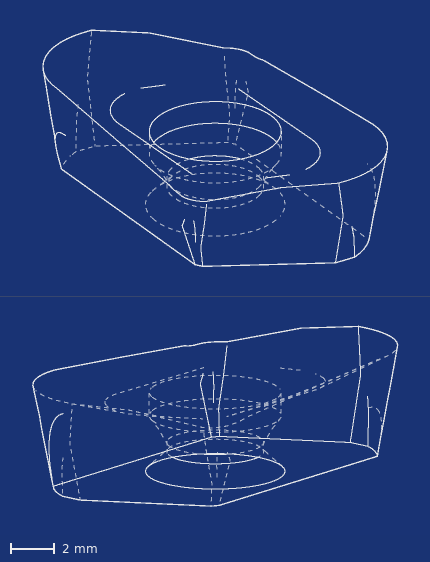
import cadquery as cq
import math

height = 5.0
half_length = 9.5
floor_z = 3.72
clearance = math.tan(math.radians(20))

end_plane = (0, 7.9)
short_plane = (-30, 6.18)
long_plane = (-91, 4.0)
corner_plane = (-60, 5.81)

nose_radius = 4.08
nose_top = (half_length - nose_radius, 0.93)
nose_base = (4.15, 0.8)
end_face_y = -1.9
corner_top = [(6.65, -4.58), (6.18, -5.11), (5.47, -5.38)]
corner_base = [(4.4, -4.33), (4.28, -4.46), (4.03, -4.58)]

floor_nose_center = (3.04, 0.76)
floor_nose_radius = 2.47
floor_side = [(5.5, 0.44, floor_z), (5.15, -0.66, floor_z)]
edge_side = [(half_length, 0.44, height), (8.08, -1.75, 4.79)]
floor_corner = [(4.0, -2.65, floor_z), (3.67, -3.08, floor_z), (2.98, -3.23, floor_z)]
edge_corner = [(6.27, -4.62, 4.08), (5.6, -5.17, 4.08), (3.99, -5.2, 4.22)]
overshoot = 1.3
cutter_top = height + 1.9

head_radius = 3.0
neck_radius = 2.62
bore_radius = 2.2
head_z = 2.62
neck_z = 2.1
bore_z = 1.37
relief_radius = 3.17
relief_z = 0.93


def half_turn(point):
    return (-point[0], -point[1], *point[2:])


def arc_points(center, radius, *z):
    """Start, middle and end of a quarter arc from +Y round to +X."""
    return [
        (
            center[0] + radius * math.cos(math.radians(angle)),
            center[1] + radius * math.sin(math.radians(angle)),
            *z,
        )
        for angle in (90, 45, 0)
    ]


def clearance_block():
    """Straight 20 degree clearance faces, widening upwards from the base."""
    size = 4 * half_length
    block = cq.Workplane("XY").box(size, size, height, centered=(True, True, False))
    for direction, distance in (end_plane, short_plane, long_plane, corner_plane):
        top_distance = distance + height * clearance
        waste = (
            cq.Workplane("XZ")
            .polyline([(distance, 0), (top_distance, height), (size, height), (size, 0)])
            .close()
            .extrude(size, both=True)
        )
        for turn in (0, 180):
            block = block.cut(waste.rotate((0, 0, 0), (0, 0, 1), direction + turn))
    return block


def flank_outline(nose_center, corner, z):
    """Closed outline: nose arc, trimmed end, corner arc and long side, twice."""
    points = [*arc_points(nose_center, nose_radius), (nose_center[0] + nose_radius, end_face_y), *corner]
    sketch = cq.Workplane("XY", origin=(0, 0, z)).moveTo(*points[0])
    for _ in range(2):
        opposite = [half_turn(point) for point in points]
        sketch = sketch.threePointArc(points[1], points[2]).lineTo(*points[3])
        sketch = sketch.lineTo(*points[4]).threePointArc(points[5], points[6])
        sketch = sketch.lineTo(*opposite[0])
        points = opposite
    return sketch.close().wire().val()


def upper_flank():
    base = flank_outline(nose_base, corner_base, 0)
    top = flank_outline(nose_top, corner_top, height)
    return cq.Workplane(cq.Solid.makeLoft([base, top], True))


def loop_edges(nose, side, corner):
    """Closed loop: nose arc, three short-side lines, corner arc, long-side line, twice."""
    edges = []
    for turned in (False, True):
        points = [*nose, *side, *corner, half_turn(nose[0])]
        if turned:
            points = [half_turn(point) for point in points]
        p = [cq.Vector(*point) for point in points]
        edges += [
            cq.Edge.makeThreePointArc(p[0], p[1], p[2]),
            cq.Edge.makeLine(p[2], p[3]),
            cq.Edge.makeLine(p[3], p[4]),
            cq.Edge.makeLine(p[4], p[5]),
            cq.Edge.makeThreePointArc(p[5], p[6], p[7]),
            cq.Edge.makeLine(p[7], p[8]),
        ]
    return edges


def extended(inner, outer):
    """Outer points moved further out along the lines from the inner points."""
    return [
        tuple(a + overshoot * (b - a) for a, b in zip(start, end))
        for start, end in zip(inner, outer)
    ]


def lifted(points):
    return [(x, y, cutter_top) for x, y, _ in points]


def chip_pocket():
    """Cutter with sloping faces from the floor outline out past the cutting edge."""
    floor_nose = arc_points(floor_nose_center, floor_nose_radius, floor_z)
    edge_nose = arc_points(nose_top, nose_radius, height)
    nose = extended(floor_nose, edge_nose)
    side = extended(floor_side, edge_side)
    corner = extended(floor_corner, edge_corner)

    floor = loop_edges(floor_nose, floor_side, floor_corner)
    rim = loop_edges(nose, side, corner)
    lid = loop_edges(lifted(nose), lifted(side), lifted(corner))
    faces = [cq.Face.makeFromWires(cq.Wire.assembleEdges(loop)) for loop in (floor, lid)]
    for lower, upper in ((floor, rim), (rim, lid)):
        faces += [cq.Face.makeRuledSurface(a, b) for a, b in zip(lower, upper)]
    return cq.Workplane(cq.Solid.makeSolid(cq.Shell.makeShell(faces)))


def screw_hole():
    profile = [
        (0, 0),
        (relief_radius, 0),
        (bore_radius, relief_z),
        (bore_radius, bore_z),
        (neck_radius, neck_z),
        (head_radius, head_z),
        (head_radius, height),
        (0, height),
    ]
    return cq.Workplane("XZ").polyline(profile).close().revolve(360, (0, 0), (0, 1))


body = clearance_block().intersect(upper_flank())
result = body.cut(chip_pocket()).cut(screw_hole())